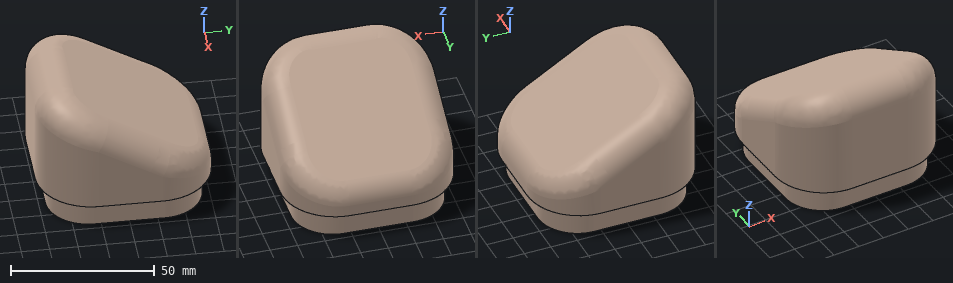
import cadquery as cq
import math

body_width = 62.0
total_height = 48.4
body_corner_radius = 19.7

plug_width = 55.25
plug_corner_radius = 15.05
plug_height = 9.9

slope_angle = math.radians(30)
rim_radius = 9.0

half_width = body_width / 2
rim_center_z = total_height - rim_radius
wall_to_tangent = rim_radius * (1 + math.sin(slope_angle))
tangent_z = rim_center_z + rim_radius * math.cos(slope_angle)
high_z = tangent_z + wall_to_tangent * math.tan(slope_angle)
low_z = high_z - body_width * math.tan(slope_angle)


def rounded_square(width, corner_radius, bottom, height):
    """Upright square block with rounded vertical corners."""
    block = cq.Workplane("XY").workplane(offset=bottom).rect(width, width).extrude(height)
    return block.edges("|Z").fillet(corner_radius)


def sloped_body():
    """Rounded square body cut by the sloping top face, with a rounded rim."""
    block = rounded_square(body_width, body_corner_radius, plug_height, high_z - plug_height)
    side_profile = [
        (-half_width, plug_height),
        (half_width, plug_height),
        (half_width, low_z),
        (-half_width, high_z),
    ]
    wedge = cq.Workplane("YZ").polyline(side_profile).close().extrude(half_width, both=True)
    return block.intersect(wedge).faces(">Z").edges().fillet(rim_radius)


plug = rounded_square(plug_width, plug_corner_radius, 0, plug_height)
result = sloped_body().union(plug)